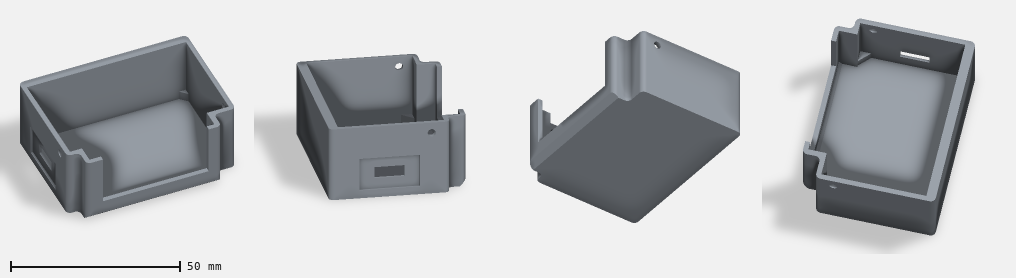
import cadquery as cq

length_x = 41.8
width_y = 54.2
height = 22.5

wall = 1.5
left_wall = 2.85
floor = 1.1
corner_radius = 1.5

body_right = 36.2
bay_front = 3.85
bay_back = width_y - 7.0
bay_back_wall = 1.7

outer_bevel_x = 1.9
outer_bevel_z = 1.85
inner_bevel = 1.05

pad_height = 2.85
right_pad_leg = 3.35
left_pad_leg = 2.15

opening_front = 9.05
opening_back = 43.1
opening_sill = 6.25

recess_left = 9.1
recess_right = 27.25
recess_bottom = 2.5
recess_top = 12.5
recess_depth = 0.75
slot_left = 13.75
slot_right = 22.7
slot_bottom = 5.8
slot_top = 9.25

hole_diameter = 2.4
hole_x = 30.75
hole_below_rim = 3.25

inner_right = body_right - wall
inner_bay_right = length_x - wall
inner_back = width_y - wall


def block(x_range, y_range, z_range):
    """Box spanning the given (low, high) ranges."""
    sizes = [high - low for low, high in (x_range, y_range, z_range)]
    corner = (x_range[0], y_range[0], z_range[0])
    return cq.Workplane("XY").box(*sizes, centered=False).translate(corner)


def bay_bevel(x_edge, z_edge, leg_x, leg_z):
    """Full-width wedge along the lower right edge of a bay volume."""
    profile = [(x_edge - leg_x, z_edge), (x_edge, z_edge), (x_edge, z_edge + leg_z)]
    return cq.Workplane("XZ").polyline(profile).close().extrude(-width_y)


def outer_body():
    body = block((0, body_right), (0, width_y), (0, height))
    bay = block((0, length_x), (bay_front, bay_back), (0, height))
    body = body.union(bay).edges("|Z").fillet(corner_radius)
    return body.cut(bay_bevel(length_x, 0, outer_bevel_x, outer_bevel_z))


def cavity():
    depth_range = (floor, height)
    main = block((left_wall, inner_right), (wall, inner_back), depth_range)
    bay_range = (bay_front + wall, bay_back - bay_back_wall)
    bay = block((left_wall, inner_bay_right), bay_range, depth_range)
    bay = bay.cut(bay_bevel(inner_bay_right, floor, inner_bevel, inner_bevel))
    return main.union(bay)


def corner_pad(x, y, leg_x, leg_y):
    """Right-angled pad with signed legs pointing into the cavity."""
    profile = [(x, y), (x + leg_x, y), (x, y + leg_y)]
    pad = cq.Workplane("XY").workplane(offset=floor)
    return pad.polyline(profile).close().extrude(pad_height)


result = outer_body().cut(cavity())

for pad_y, inward in ((wall, 1), (inner_back, -1)):
    result = result.union(corner_pad(left_wall, pad_y, left_pad_leg, inward * left_pad_leg))
    result = result.union(corner_pad(inner_right, pad_y, -right_pad_leg, inward * right_pad_leg))

result = result.cut(
    block((inner_bay_right, length_x), (opening_front, opening_back), (opening_sill, height))
)

result = result.cut(
    block((recess_left, recess_right), (0, recess_depth), (recess_bottom, recess_top))
)
result = result.cut(block((slot_left, slot_right), (0, wall), (slot_bottom, slot_top)))

cross_hole = (
    cq.Workplane("XZ")
    .center(hole_x, height - hole_below_rim)
    .circle(hole_diameter / 2)
    .extrude(-width_y)
)
result = result.cut(cross_hole)